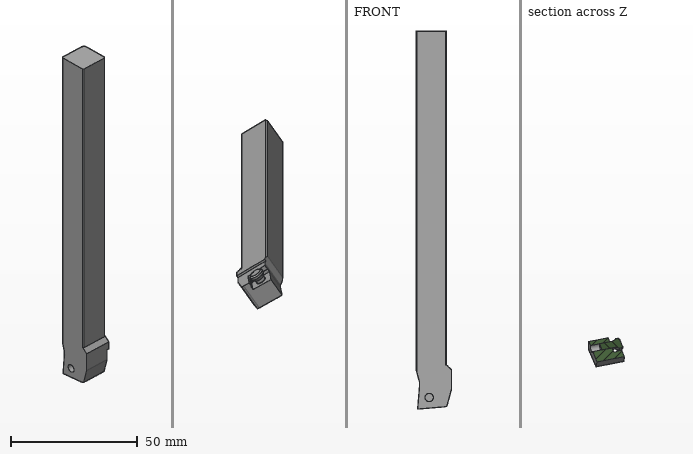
import cadquery as cq
import math

total_length = 149.4
shank_width = 12.1
shank_depth = 12.2
edge_chamfer = 0.5
back_left_chamfer_depth = 0.9

head_right = 14.0
flare_top = 17.5
flare_bottom = 15.7
right_taper_top = 7.8
bottom_right_x = 12.2
bottom_right_z = 1.2
heel_x = 11.4
heel_z = 0.9
tip_x = 0.6
notch_x = 1.3
notch_bottom = 9.0
notch_top = 10.8
left_taper_top = 15.7

head_back_y = 11.4
head_back_top = 12.4

seat_y = 8.0
relief_top_y = 9.4
pocket_wall_top_x = 9.4
pocket_tilt = math.radians(5)
pocket_roof_z = 7.9
wall_relief = 0.3
relief_corner = 0.6
pocket_margin = 4.5

screw_x = 5.2
screw_z = 4.6
thread_diameter = 3.3
thread_end_y = 3.7
neck_diameter = 3.9
head_diameter = 5.7
crown_diameter = 4.6
cone_top_y = 10.8
head_rim_y = 11.7


def extrude_along_y(points, start_y, end_y):
    """Extrude a closed XZ outline from start_y to end_y."""
    outline = cq.Workplane("XZ", origin=(0, start_y, 0)).polyline(points).close()
    return outline.extrude(start_y - end_y)


def pocket_outline(relief, corner):
    """XZ outline of the tilted pocket, enlarged by relief and with its inner corner cut off."""
    slope = math.tan(pocket_tilt)
    wall_x = pocket_wall_top_x + relief
    roof_z = pocket_roof_z + relief
    left_x = -pocket_margin
    bottom_z = -pocket_margin
    points = [
        (left_x, bottom_z),
        (wall_x - (roof_z - bottom_z) * slope, bottom_z),
        (wall_x - corner * slope, roof_z - corner),
    ]
    if corner > 0:
        points.append((wall_x - corner, roof_z + corner * slope))
    points.append((left_x, roof_z + (wall_x - left_x) * slope))
    return points


def corner_cutter(x, y, inward_x, inward_y, bottom_z):
    """Triangular prism that chamfers one long edge of the shank down to bottom_z."""
    corners = [(x, y), (x + inward_x, y), (x, y + inward_y)]
    return (
        cq.Workplane("XY", origin=(0, 0, bottom_z))
        .polyline(corners)
        .close()
        .extrude(total_length - bottom_z)
    )


def make_holder():
    body = extrude_along_y(
        [
            (0, total_length),
            (shank_width, total_length),
            (shank_width, flare_top),
            (head_right, flare_bottom),
            (head_right, right_taper_top),
            (bottom_right_x, bottom_right_z),
            (heel_x, heel_z),
            (tip_x, 0),
            (notch_x, notch_bottom),
            (notch_x, notch_top),
            (0, left_taper_top),
        ],
        0,
        shank_depth,
    )

    c = edge_chamfer
    body = body.cut(corner_cutter(0, 0, c, c, head_back_top))
    body = body.cut(corner_cutter(0, shank_depth, c, -back_left_chamfer_depth, head_back_top))
    body = body.cut(corner_cutter(shank_width, 0, -c, c, flare_top))
    body = body.cut(corner_cutter(shank_width, shank_depth, -c, -c, flare_top))

    back_step = cq.Workplane("XY").box(
        head_right, shank_depth - head_back_y, head_back_top, centered=False
    )
    body = body.cut(back_step.translate((0, head_back_y, 0)))

    body = body.cut(extrude_along_y(pocket_outline(0, 0), seat_y, shank_depth))
    body = body.cut(extrude_along_y(pocket_outline(wall_relief, relief_corner), seat_y, relief_top_y))

    hole = (
        cq.Workplane("XZ")
        .center(screw_x, screw_z)
        .circle(thread_diameter / 2)
        .extrude(-shank_depth)
    )
    return body.cut(hole)


def make_screw():
    """Countersunk screw, revolved about its own axis and resting on the pocket floor."""
    profile = [
        (0, thread_end_y),
        (thread_diameter / 2, thread_end_y),
        (thread_diameter / 2, seat_y),
        (neck_diameter / 2, seat_y),
        (neck_diameter / 2, relief_top_y),
        (head_diameter / 2, cone_top_y),
        (head_diameter / 2, head_rim_y),
        (crown_diameter / 2, shank_depth),
        (0, shank_depth),
    ]
    screw = cq.Workplane("XY").polyline(profile).close().revolve(360, (0, 0, 0), (0, 1, 0))
    return screw.translate((screw_x, 0, screw_z))


holder = make_holder()
screw = make_screw()

result = cq.Compound.makeCompound([holder.val(), screw.val()])